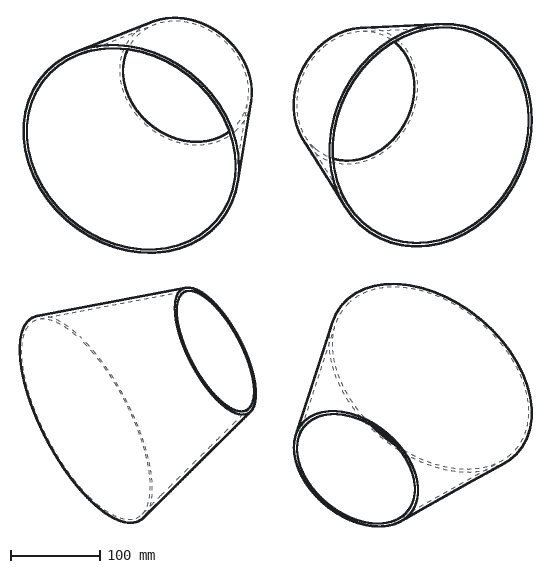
import cadquery as cq

length = 178.0
wide_outer_diameter = 258.0
narrow_outer_diameter = 158.2
radial_wall = 4.0

wide_outer_radius = wide_outer_diameter / 2
narrow_outer_radius = narrow_outer_diameter / 2
wide_end = -length / 2
narrow_end = length / 2

wall_section = (
    cq.Workplane("XY")
    .moveTo(wide_outer_radius - radial_wall, wide_end)
    .lineTo(wide_outer_radius, wide_end)
    .lineTo(narrow_outer_radius, narrow_end)
    .lineTo(narrow_outer_radius - radial_wall, narrow_end)
    .close()
)

result = wall_section.revolve(360, (0, 0, 0), (0, 1, 0))